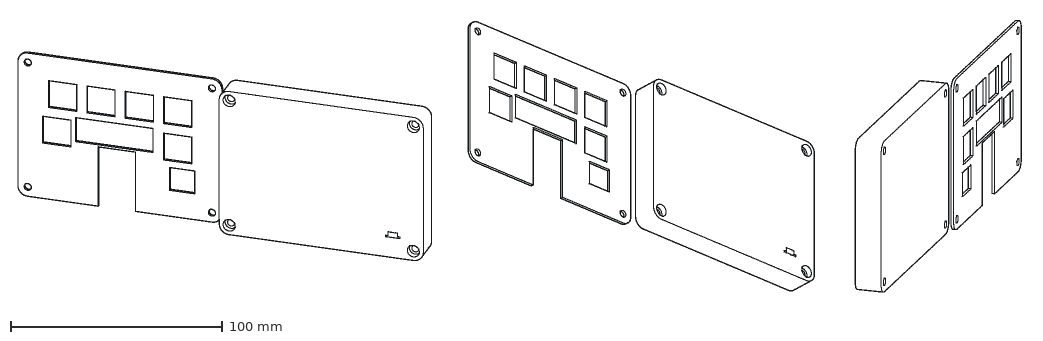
import cadquery as cq

total_width = 205.8
total_height = 76.4
panel_width = 101.5
panel_height = 75.1
plate_thickness = 1.5
case_depth = 13.0

corner_radius = 5.0
screw_diameter = 3.5
head_diameter = 6.0
head_depth = 3.0

key_opening = 14.0
key_columns = 4
key_row_span = 57.2
key_pitch = key_row_span / (key_columns - 1)
first_key_x = 22.2
first_row_drop = 20.0
second_row_drop = first_row_drop + key_pitch
left_key_shift = 2.9

display_width = 38.5
display_height = 12.5
display_x = 48.0
display_drop = 36.6

encoder_width = 12.5
encoder_height = 12.0
encoder_x = 81.7
encoder_drop = 55.5

slot_width = 18.5
slot_height = 31.0
slot_x = 49.2

badge_base_width = 7.2
badge_base_height = 0.8
badge_top_width = 4.7
badge_top_height = 1.9
badge_depth = 0.6
badge_x = 86.2
badge_rise = 10.5

plate_left = 0.0
plate_bottom = 0.0
case_left = total_width - panel_width
case_bottom = total_height - panel_height
case_front = 0.0
case_back = case_front + case_depth


def box(left, bottom, width, height, front, depth):
    """Block given by its lower left front corner and its size."""
    return cq.Workplane("XY").box(width, depth, height, centered=False).translate((left, front, bottom))


def rounded_panel(left, bottom, front, depth):
    """Upright panel with its four corners rounded."""
    panel = box(left, bottom, panel_width, panel_height, front, depth)
    return panel.edges("|Y").fillet(corner_radius)


def corner_cylinders(left, bottom, front, depth, diameter):
    """Cylinders along Y at the four screw positions of a panel."""
    centres = [
        (left + x, bottom + z)
        for x in (corner_radius, panel_width - corner_radius)
        for z in (corner_radius, panel_height - corner_radius)
    ]
    front_plane = cq.Plane(origin=(0, front, 0), xDir=(1, 0, 0), normal=(0, -1, 0))
    return cq.Workplane(front_plane).pushPoints(centres).circle(diameter / 2).extrude(-depth)


def plate_opening(centre_x, drop, width, height):
    """Rectangular cutter through the plate, placed from its left and top edges."""
    left = plate_left + centre_x - width / 2
    bottom = plate_bottom + panel_height - drop - height / 2
    return box(left, bottom, width, height, case_back, plate_thickness)


def make_plate():
    plate = rounded_panel(plate_left, plate_bottom, case_back, plate_thickness)
    plate = plate.cut(corner_cylinders(plate_left, plate_bottom, case_back, plate_thickness, screw_diameter))

    last_key_x = first_key_x + key_row_span
    key_centres = [(first_key_x + i * key_pitch, first_row_drop) for i in range(key_columns)]
    key_centres.append((first_key_x - left_key_shift, second_row_drop))
    key_centres.append((last_key_x, second_row_drop))
    for x, drop in key_centres:
        plate = plate.cut(plate_opening(x, drop, key_opening, key_opening))

    plate = plate.cut(plate_opening(display_x, display_drop, display_width, display_height))
    plate = plate.cut(plate_opening(encoder_x, encoder_drop, encoder_width, encoder_height))
    slot_drop = panel_height - slot_height / 2
    return plate.cut(plate_opening(slot_x, slot_drop, slot_width, slot_height))


def make_badge():
    """Stepped badge: a narrow block on a wide base, flush with the case front."""
    centre_x = case_left + badge_x
    base_bottom = case_bottom + badge_rise
    base = box(
        centre_x - badge_base_width / 2, base_bottom,
        badge_base_width, badge_base_height, case_front, badge_depth,
    )
    top = box(
        centre_x - badge_top_width / 2, base_bottom + badge_base_height,
        badge_top_width, badge_top_height, case_front, badge_depth,
    )
    return base.union(top)


def make_case(badge):
    case = rounded_panel(case_left, case_bottom, case_front, case_depth)
    case = case.cut(corner_cylinders(case_left, case_bottom, case_front, case_depth, screw_diameter))
    case = case.cut(corner_cylinders(case_left, case_bottom, case_front, head_depth, head_diameter))
    return case.cut(badge)


plate = make_plate()
badge = make_badge()
case = make_case(badge)

result = cq.Compound.makeCompound([plate.val(), case.val(), badge.val()])